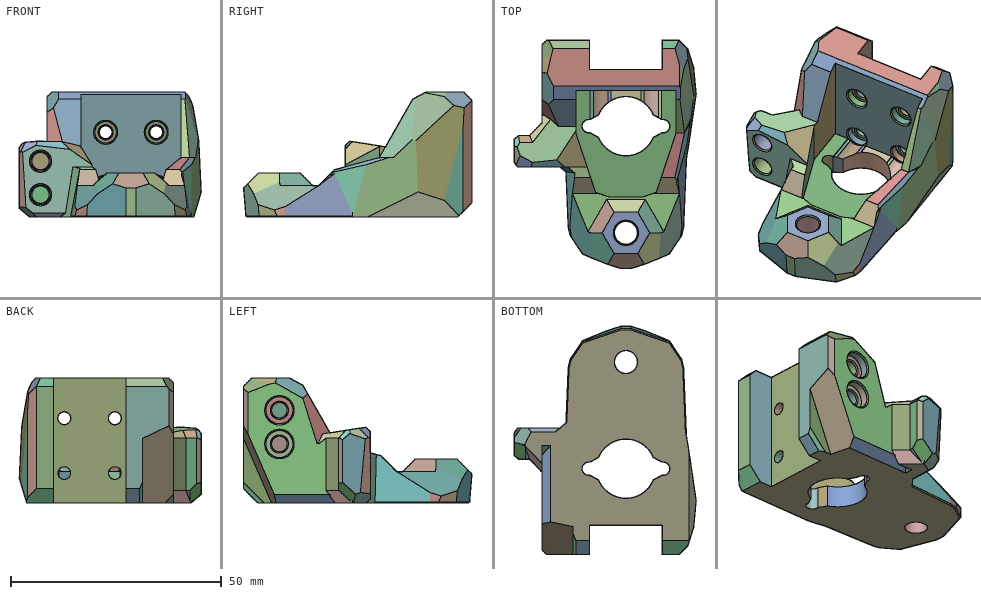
import cadquery as cq
import math


HEIGHT = 29.69
BACK_Y = 20.4
TIP_Y = BACK_Y - 54.22
LEFT_X = -19.92
EAR_LEFT_X = -26.5
RIGHT_X = EAR_LEFT_X + 43.19
SHELF_Z = 7.47
BOSS_Z = 10.5
FLOOR_Z = 5.4
POCKET_HALF = 11.9
POCKET_BACK_Y = 8.45
WALL_THICKNESS = 5.0
SLOT_HALF = 8.6
TOP_BEVEL = 2.0
REAR_BOTTOM_BEVEL = 3.4
SIDE_BOTTOM_BEVEL = 2.05
FOOT_EDGE_BREAK = 0.3
NOSE_HALF = 1.15
NOSE_UNDERCUT = 0.57
HOLE_BREAK = 0.3
BIG = 120.0

BORE_RADIUS = 7.0
BORE_SLOT_HALF = 1.54
BORE_SLOT_CENTER = 8.84
BORE_BLEND_IN = (6.3, 2.75)
BORE_BLEND_OUT = (8.54, BORE_SLOT_HALF)

WALL_SCREW_X = 6.0
WALL_SCREW_TOP_Z = 20.1
WALL_SCREW_LOW_Z = 7.1
WALL_SCREW_DIA = 3.0
WALL_HEAD_DIA = 5.1
WALL_HEAD_DEPTH = 2.0
GROOVE_MOUTH_HALF = 2.47
GROOVE_MOUTH_DEPTH = 0.2

SIDE_SCREW_Y = 11.87
SIDE_SCREW_ZS = (14.0, 22.0)
SIDE_SCREW_DIA = 3.7
SIDE_HEAD_DIA = 6.4
SIDE_HEAD_DEPTH = 2.2
SIDE_SCREW_DEPTH = 7.0

EAR_HOLE_X = -21.45
EAR_HOLE_ZS = (5.3, 13.25)
EAR_HOLE_DIA = 4.7
EAR_HOLE_DEPTH = 5.5

BOSS_Y = -25.3
BOSS_TOP_RADIUS = 5.65
BOSS_HOLE_DIA = 5.4

CREST_FRONT_Y = 9.5
BROW = (6.3, 27.95)
KNEE = (-1.6, 14.1)
RAMP_TOP = (-12.2, 11.25)
RAMP_FOOT_Y = -15.95

EAR_FRONT_Y = -9.7
EAR_BACK_Y = -2.2
EAR_FRONT_BEVEL = 0.95


def trim(body, inside, a, b, c):
    """Cut body along the plane through a, b, c and keep the side that holds the point inside."""
    origin = cq.Vector(*a)
    normal = (cq.Vector(*b) - origin).cross(cq.Vector(*c) - origin)
    if normal.dot(cq.Vector(*inside) - origin) > 0:
        normal = normal * -1.0
    waste = cq.Workplane(cq.Plane(origin, normal=normal)).rect(BIG, BIG).extrude(BIG)
    return body.cut(waste)


def trim_all(body, inside, facets):
    for a, b, c in facets:
        body = trim(body, inside, a, b, c)
    return body


def box(x0, x1, y0, y1, z0, z1):
    return cq.Workplane("XY").box(x1 - x0, y1 - y0, z1 - z0, centered=False).translate((x0, y0, z0))


def below(point):
    """A second point straight under the first, for upright planes."""
    return (point[0], point[1], point[2] - 1.0)


def along_x(point):
    """A second point beside the first, for planes parallel to X."""
    return (point[0] + 1.0, point[1], point[2])


def along_y(point):
    """A second point behind the first, for planes parallel to Y."""
    return (point[0], point[1] + 1.0, point[2])


def mirrored(point):
    return (-point[0], point[1], point[2])


def drill(body, start, direction, diameter, depth):
    """Round hole with a chamfered rim."""
    radius = diameter / 2
    at, way = cq.Vector(*start), cq.Vector(*direction)
    body = body.cut(cq.Workplane(cq.Solid.makeCylinder(radius, depth, at, way)))
    rim = cq.Solid.makeCone(radius + HOLE_BREAK, radius, HOLE_BREAK, at, way)
    return body.cut(cq.Workplane(rim))


def profile_prism(outline, front_y, back_y):
    """Prism along X over an outline in Y and Z, kept between two Y positions."""
    prism = cq.Workplane("YZ").polyline(outline).close().extrude(BIG, both=True)
    return prism.intersect(box(LEFT_X, RIGHT_X, front_y, back_y, 0, HEIGHT))


def extended(start, end, z):
    """Point at height z on the line through two points of the side profile."""
    share = (z - start[1]) / (end[1] - start[1])
    return (start[0] + share * (end[0] - start[0]), z)


FLARE_TOP = (-13.8, EAR_FRONT_Y, 11.85)
FLARE_LOW = (-15.5, EAR_FRONT_Y, 1.0)
FLARE_IN = (-12.45, -10.86, 11.5)
RIDGE = (15.8, 5.0, 17.2)
BELLY = (RIGHT_X, 7.6, 5.94)
ARM_INNER = (13.9, *KNEE)
ARM_OUTER = (15.3, 1.3, 14.3)
RAMP_INNER = (11.6, *RAMP_TOP)
RAMP_OUTER = (12.66, -11.0, 10.6)
RIGHT_RIM = (RAMP_INNER, ARM_INNER, ARM_OUTER)
WALL_INSIDE = (0, 8, 6)
RAMP_INSIDE = (0, -4, 4)


def left_bottom_bevel():
    edge = (LEFT_X, 0, SIDE_BOTTOM_BEVEL)
    edge_in = (LEFT_X + SIDE_BOTTOM_BEVEL, 0, 0)
    return (edge, edge_in, along_y(edge_in))


def left_facets():
    crest_back = (-17.3, BACK_Y - TOP_BEVEL, HEIGHT)
    crest_mid = (-18.7, 12.5, HEIGHT)
    crest_front = (-17.2, CREST_FRONT_Y, HEIGHT)
    face_back = (LEFT_X, 19.3, 26.2)
    face_top = (LEFT_X, 14.45, 28.15)
    face_front = (LEFT_X, 6.1, 24.7)
    brow_low = (-18.5, 5.2, 25.7)
    arm_low = (-15.95, -0.15, 16.65)
    face_low = (LEFT_X, 2.87, 13.9)
    rear_edge = (-18.8, BACK_Y, 26.2)
    return [
        (crest_back, face_top, face_back),
        (crest_back, crest_mid, face_top),
        (crest_mid, crest_front, face_front),
        (brow_low, arm_low, face_low),
        (face_back, rear_edge, below(face_back)),
        left_bottom_bevel(),
    ]


def belly_facets():
    """Planes on the right side shared by the wall and the ramp."""
    hip = (14.93, -2.7, 12.6)
    hip_low = (14.25, -8.1, FOOT_EDGE_BREAK)
    bottom_in = (14.93, 7.6, 0)
    return [
        (RAMP_OUTER, hip, hip_low),
        (RIDGE, ARM_OUTER, BELLY),
        (BELLY, bottom_in, along_y(BELLY)),
    ]


def right_facets():
    crest_back = (11.65, BACK_Y - TOP_BEVEL, HEIGHT)
    crest_mid = (12.7, 14.6, HEIGHT)
    crest_front = (12.7, CREST_FRONT_Y, HEIGHT)
    rear_top = (12.6, BACK_Y, HEIGHT - TOP_BEVEL)
    rear_side = (14.7, 18.3, 25.7)
    shoulder = (13.8, 13.95, 28.55)
    shoulder_out = (14.7, 16.1, 26.5)
    brow_out = (13.03, 7.0, 28.2)
    ridge_back = (16.05, 8.3, 17.0)
    belly_back = (16.6, 12.3, 5.94)
    return [
        (crest_mid, crest_back, rear_top),
        (crest_mid, crest_front, shoulder),
        (shoulder, shoulder_out, brow_out),
        (brow_out, RIDGE, ARM_INNER),
        (shoulder_out, ridge_back, BELLY),
        (rear_side, belly_back, below(rear_side)),
        (rear_top, rear_side, below(rear_top)),
    ]


def ramp_facets():
    return [
        RIGHT_RIM,
        (FLARE_TOP, FLARE_LOW, FLARE_IN),
        left_bottom_bevel(),
    ]


def wall():
    """Upright wall with the steep upper halves of both arms."""
    outline = [
        (BACK_Y - REAR_BOTTOM_BEVEL, 0),
        (BACK_Y, REAR_BOTTOM_BEVEL),
        (BACK_Y, HEIGHT - TOP_BEVEL),
        (BACK_Y - TOP_BEVEL, HEIGHT),
        (CREST_FRONT_Y, HEIGHT),
        BROW,
        extended(BROW, KNEE, 0),
    ]
    body = profile_prism(outline, RAMP_FOOT_Y, BACK_Y)
    body = trim_all(body, WALL_INSIDE, left_facets() + right_facets() + belly_facets())
    return body.cut(left_rear_recess())


def ramp():
    """Lower halves of both arms, sloping down to the foot."""
    back_y = 6.0
    outline = [
        (back_y, 0),
        (back_y, KNEE[1]),
        KNEE,
        RAMP_TOP,
        (RAMP_FOOT_Y, SHELF_Z),
        (RAMP_FOOT_Y, 0),
    ]
    body = profile_prism(outline, RAMP_FOOT_Y, back_y)
    return trim_all(body, RAMP_INSIDE, ramp_facets() + belly_facets())


def left_rear_recess():
    """Deep step that takes off the lower rear corner on the left."""
    floor_x = -12.5
    bevel_depth = 0.6
    bevel_rise = 1.5
    upper = (LEFT_X, 19.3, 16.3)
    lower = (LEFT_X, 13.1, SIDE_BOTTOM_BEVEL)
    floor = (floor_x, BACK_Y, 15.3)
    keep_out = (LEFT_X, BACK_Y, 0)
    step = trim(box(LEFT_X - 1, floor_x, 0, BACK_Y + 1, -1, HEIGHT), keep_out, upper, lower, floor)
    edge_start = REAR_BOTTOM_BEVEL + bevel_rise
    edge = (floor_x, BACK_Y, edge_start)
    edge_low = (floor_x, BACK_Y - edge_start, 0)
    edge_in = (floor_x + bevel_depth, BACK_Y, REAR_BOTTOM_BEVEL)
    corner = box(LEFT_X - 1, floor_x + bevel_depth, 0, BACK_Y + 1, -1, HEIGHT)
    corner = trim(corner, keep_out, upper, lower, floor)
    return step.union(trim(corner, keep_out, edge, edge_low, edge_in))


FOOT_INSIDE = (0, -20, 3)
SHANK_INSIDE = (0, -12, 3)
FOOT_SIDE_TOP = (-12.7, RAMP_FOOT_Y, SHELF_Z)
FOOT_SIDE_REAR = (-14.25, -11.0, FOOT_EDGE_BREAK)
FOOT_SIDE_FRONT = (-13.72, -23.9, FOOT_EDGE_BREAK)


def boss():
    """Hexagonal pyramid stump with 45 degree sides, reaching down to the underside."""
    base_radius = BOSS_TOP_RADIUS + BOSS_Z / math.cos(math.pi / 6)
    stump = cq.Workplane("XY").polygon(6, 2 * base_radius).workplane(offset=BOSS_Z)
    stump = stump.polygon(6, 2 * BOSS_TOP_RADIUS).loft(ruled=True)
    return stump.translate((0, BOSS_Y, 0))


def with_mirror(facets):
    return facets + [tuple(mirrored(point) for point in facet) for facet in facets]


def foot_facets():
    """Planes on the left half of the foot, in front of its sides."""
    shelf_front = (-9.0, -25.0, SHELF_Z)
    haunch = (-13.3, -23.9, 2.45)
    haunch_front = (-12.8, -26.6, 1.9)
    cheek = (-10.3, -30.35, 2.95)
    nose = (-NOSE_HALF, TIP_Y, 6.95)
    nose_low = (-NOSE_HALF, TIP_Y + NOSE_UNDERCUT, 0)
    return [
        (FOOT_SIDE_TOP, shelf_front, cheek),
        (haunch, haunch_front, FOOT_SIDE_FRONT),
        (haunch_front, cheek, below(cheek)),
        (cheek, nose, nose_low),
        (nose, nose_low, along_x(nose)),
    ]


def foot():
    """Faceted toe with its boss, and the narrow shank that joins it to the arms."""
    rear_y = -8.0
    ramp_slope = (KNEE[1] - RAMP_TOP[1]) / (KNEE[0] - RAMP_TOP[0])
    shank_rim = (RAMP_INNER, RAMP_OUTER, mirrored(FOOT_SIDE_TOP))
    sides = with_mirror([(FOOT_SIDE_TOP, FOOT_SIDE_REAR, FOOT_SIDE_FRONT)])
    toe = box(LEFT_X, RIGHT_X, TIP_Y, RAMP_FOOT_Y, 0, SHELF_Z).union(boss())
    toe = toe.intersect(box(LEFT_X, RIGHT_X, BOSS_Y, RAMP_FOOT_Y, 0, HEIGHT).union(boss()))
    toe = trim_all(toe, FOOT_INSIDE, sides + with_mirror(foot_facets()))
    outline = [
        (rear_y, 0),
        (rear_y, RAMP_TOP[1] + ramp_slope * (rear_y - RAMP_TOP[0])),
        RAMP_TOP,
        (RAMP_FOOT_Y, SHELF_Z),
        (RAMP_FOOT_Y, 0),
    ]
    shank = profile_prism(outline, RAMP_FOOT_Y, rear_y)
    shank = trim_all(shank, SHANK_INSIDE, sides + [RIGHT_RIM, shank_rim])
    return toe.union(shank).clean().faces("<Z").chamfer(FOOT_EDGE_BREAK)


EAR_TOP_FRONT = (-16.4, -8.0, 17.9)
EAR_TOP_INNER = (-12.0, -1.3, 16.85)
EAR_TOP_LEFT = (-22.2, -8.6, 18.0)
EAR_INNER_X = -9.0
EAR_INSIDE = (-19, -6, 8)
NECK_INSIDE = (-13, -4, 8)


def ear_top_facets():
    """Top of the ear and its slope towards the pocket."""
    front_inner = (-9.4, EAR_FRONT_Y, 12.5)
    return [
        (EAR_TOP_FRONT, EAR_TOP_INNER, EAR_TOP_LEFT),
        (EAR_TOP_FRONT, EAR_TOP_INNER, front_inner),
    ]


def ear_facets():
    top_outer = (-25.1, -7.05, 17.7)
    top_side = (-25.8, -4.8, 17.35)
    top_rear = (-25.4, -3.8, 17.2)
    front_top = (-14.5, EAR_FRONT_Y, 16.05)
    front_left = (-22.5, EAR_FRONT_Y, 17.0)
    front_corner = (-25.7, EAR_FRONT_Y, 15.2)
    front_low = (-24.9, EAR_FRONT_Y, 2.2)
    front_bottom = (EAR_HOLE_X, EAR_FRONT_Y, EAR_FRONT_BEVEL)
    front_bottom_in = (EAR_HOLE_X, EAR_FRONT_Y + EAR_FRONT_BEVEL, 0)
    side_corner = (EAR_LEFT_X, -8.5, 15.2)
    side_top = (EAR_LEFT_X, -4.8, 16.5)
    side_rear = (EAR_LEFT_X, -3.1, 15.0)
    side_low = (EAR_LEFT_X, -3.1, 4.9)
    side_low_front = (EAR_LEFT_X, -6.2, SIDE_BOTTOM_BEVEL)
    front_low_in = (-23.25, EAR_FRONT_Y, EAR_FRONT_BEVEL)
    rear_side = (-25.4, EAR_BACK_Y, 15.4)
    rear_corner = (-25.4, EAR_BACK_Y, 4.6)
    rear_low = (-25.4, EAR_BACK_Y, 3.0)
    rear_low_in = (-25.4, -5.5, 0)
    return [
        (EAR_TOP_LEFT, EAR_TOP_FRONT, front_top),
        (top_outer, EAR_TOP_LEFT, front_left),
        (front_corner, front_low, side_corner),
        (side_top, side_corner, top_outer),
        (side_top, top_side, side_rear),
        (side_rear, rear_side, below(side_rear)),
        (rear_side, top_rear, along_x(rear_side)),
        (side_low, side_low_front, rear_corner),
        (rear_low, rear_low_in, along_x(rear_low)),
        (side_low_front, front_low, front_low_in),
        (front_bottom, front_bottom_in, along_x(front_bottom)),
    ]


def neck():
    """Rear part of the ear: a diagonal wall up to the left face, and a bevel that runs on past it."""
    outer = (-22.86, EAR_BACK_Y, 15.4)
    inner = (LEFT_X, 0.8, 15.4)
    top = (-22.2, -3.85, 17.2)
    outer_low = (-22.86, EAR_BACK_Y, 3.0)
    inner_low = (LEFT_X, 0.8, 3.0)
    bottom = (LEFT_X, -1.3, 0)
    front_y = -5.5
    back_y = 5.0
    outside = box(EAR_LEFT_X, LEFT_X, front_y, back_y, 0, HEIGHT)
    wall_facets = [(outer, inner, below(outer)), (outer_low, inner_low, bottom)]
    outside = trim_all(outside, NECK_INSIDE, wall_facets)
    body = outside.union(box(LEFT_X, EAR_INNER_X, front_y, back_y, SIDE_BOTTOM_BEVEL, HEIGHT))
    return trim_all(body, NECK_INSIDE, ear_top_facets() + [(outer, inner, top)])


def ear():
    """Projection on the left arm that carries two front holes."""
    block = box(EAR_LEFT_X, EAR_INNER_X, EAR_FRONT_Y, EAR_BACK_Y, 0, HEIGHT)
    return trim_all(block, EAR_INSIDE, ear_top_facets() + ear_facets()).union(neck())


def pocket():
    """Room between the arms, narrowing towards the foot."""
    right = [
        (4.0, -16.8),
        (7.2, -15.7),
        (POCKET_HALF, KNEE[0]),
        (POCKET_HALF, POCKET_BACK_Y),
    ]
    left = [(-x, y) for x, y in reversed(right)]
    return cq.Workplane("XY", origin=(0, 0, FLOOR_Z)).polyline(right + left).close().extrude(HEIGHT)


def rear_slot():
    return box(-SLOT_HALF, SLOT_HALF, POCKET_BACK_Y + WALL_THICKNESS, BACK_Y, 0, HEIGHT)


def bore():
    """Round bore and cross slot, joined by a tapering stretch on each side."""
    x_in, y_in = BORE_BLEND_IN
    x_out, y_out = BORE_BLEND_OUT
    blend = [(x_in, y_in), (x_out, y_out), (x_out, -y_out), (x_in, -y_in)]
    blend += [(-x, -y) for x, y in blend]
    slot_length = 2 * (BORE_SLOT_CENTER + BORE_SLOT_HALF)
    plane = cq.Workplane("XY")
    opening = plane.circle(BORE_RADIUS).extrude(FLOOR_Z)
    opening = opening.union(plane.polyline(blend).close().extrude(FLOOR_Z))
    return opening.union(plane.slot2D(slot_length, 2 * BORE_SLOT_HALF).extrude(FLOOR_Z))


def head_groove(x):
    """Screw-head groove in the floor, from the wall to the bore, with a shallow wider mouth."""
    radius = WALL_HEAD_DIA / 2
    plane = cq.Workplane("XZ", origin=(x, 0, 0))
    groove = plane.center(0, WALL_SCREW_LOW_Z).circle(radius).extrude(-POCKET_BACK_Y)
    mouth_z = FLOOR_Z - GROOVE_MOUTH_DEPTH
    mouth = box(x - GROOVE_MOUTH_HALF, x + GROOVE_MOUTH_HALF, 0, POCKET_BACK_Y, mouth_z, FLOOR_Z)
    return groove.union(mouth)


def cut_wall_screws(body):
    back = (0, 1, 0)
    for x in (-WALL_SCREW_X, WALL_SCREW_X):
        body = body.cut(head_groove(x))
        for z in (WALL_SCREW_LOW_Z, WALL_SCREW_TOP_Z):
            seat_y = POCKET_BACK_Y + WALL_HEAD_DEPTH
            body = drill(body, (x, POCKET_BACK_Y, z), back, WALL_HEAD_DIA, WALL_HEAD_DEPTH)
            body = drill(body, (x, seat_y, z), back, WALL_SCREW_DIA, WALL_THICKNESS)
    return body


def cut_side_screws(body):
    for z in SIDE_SCREW_ZS:
        seat_x = LEFT_X + SIDE_HEAD_DEPTH
        body = drill(body, (LEFT_X, SIDE_SCREW_Y, z), (1, 0, 0), SIDE_HEAD_DIA, SIDE_HEAD_DEPTH)
        body = drill(body, (seat_x, SIDE_SCREW_Y, z), (1, 0, 0), SIDE_SCREW_DIA, SIDE_SCREW_DEPTH)
    return body


def cut_ear_holes(body):
    """Blind holes with a chamfered rim and a tapered end."""
    for z in EAR_HOLE_ZS:
        start = (EAR_HOLE_X, EAR_FRONT_Y, z)
        body = drill(body, start, (0, 1, 0), EAR_HOLE_DIA, EAR_HOLE_DEPTH)
        end = cq.Vector(EAR_HOLE_X, EAR_FRONT_Y + EAR_HOLE_DEPTH, z)
        radius = EAR_HOLE_DIA / 2
        tip = cq.Solid.makeCone(radius, radius - HOLE_BREAK, HOLE_BREAK, end, cq.Vector(0, 1, 0))
        body = body.cut(cq.Workplane(tip))
    return body


result = wall().union(ramp()).union(foot()).union(ear())
result = result.cut(pocket()).cut(rear_slot()).cut(bore())
result = cut_wall_screws(result)
result = cut_side_screws(result)
result = cut_ear_holes(result)
result = drill(result, (0, BOSS_Y, BOSS_Z), (0, 0, -1), BOSS_HOLE_DIA, BOSS_Z)